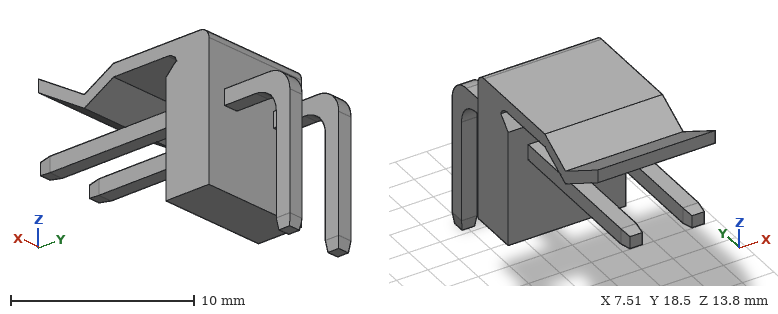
import cadquery as cq


housing_width = 7.51
housing_depth = 3.18
housing_height = 9.49
rear_edge_radius = 0.65

latch_thickness = 0.83
latch_bend_reach = 7.03
latch_valley_reach = 9.2
latch_tip_reach = 12.58
latch_valley_drop = 1.2
latch_tip_rise = 0.8

relief_chamfer = 0.78
relief_chamfer_bottom = 7.42
relief_radius = 0.65

pin_pitch = 3.95
pin_size = 1.0
pin_axis_height = 5.68
pin_rear_offset = 4.81
pin_length = 18.5
pin_drop = 3.5
pin_bend_radius = 1.5
pin_end_size = 0.8
mating_taper = 0.8
solder_taper = 0.72


def make_housing():
    """Housing block and latch as one extruded side profile of (Y, Z) points."""
    rear = -pin_rear_offset
    front = rear - housing_depth
    bend = rear - latch_bend_reach
    valley = rear - latch_valley_reach
    tip = rear - latch_tip_reach

    top = housing_height
    underside = top - latch_thickness
    valley_top = top - latch_valley_drop
    tip_top = top + latch_tip_rise

    slope_end_y = front + relief_chamfer
    slope_end_z = relief_chamfer_bottom + relief_chamfer
    round_center_z = underside - relief_radius
    round_half_width = (relief_radius**2 - (slope_end_z - round_center_z) ** 2) ** 0.5
    round_start_y = slope_end_y - round_half_width

    profile = (
        cq.Workplane("YZ")
        .moveTo(rear, 0)
        .lineTo(rear, top - rear_edge_radius)
        .tangentArcPoint((rear - rear_edge_radius, top), relative=False)
        .lineTo(bend, top)
        .lineTo(valley, valley_top)
        .lineTo(tip, tip_top)
        .lineTo(tip, tip_top - latch_thickness)
        .lineTo(valley, valley_top - latch_thickness)
        .lineTo(bend, underside)
        .lineTo(round_start_y, underside)
        .tangentArcPoint((slope_end_y, slope_end_z), relative=False)
        .lineTo(front, relief_chamfer_bottom)
        .lineTo(front, 0)
        .close()
    )
    return profile.extrude(housing_width / 2, both=True)


def make_pin_end(workplane, length):
    """Tapered pin end, grown from a full pin section along the workplane normal."""
    return (
        workplane.rect(pin_size, pin_size)
        .workplane(offset=length)
        .rect(pin_end_size, pin_end_size)
        .loft()
    )


def make_pin(x):
    """Bent square pin with both ends tapered."""
    mating_start = -pin_length + mating_taper
    solder_start = -pin_drop + solder_taper
    pin_top = pin_axis_height + pin_size / 2
    pin_bottom = pin_top - pin_size

    profile = (
        cq.Workplane("YZ", origin=(x, 0, 0))
        .moveTo(mating_start, pin_top)
        .lineTo(-pin_bend_radius, pin_top)
        .tangentArcPoint((0, pin_top - pin_bend_radius), relative=False)
        .lineTo(0, solder_start)
        .lineTo(-pin_size, solder_start)
        .lineTo(-pin_size, pin_bottom - pin_bend_radius)
        .tangentArcPoint((-pin_size - pin_bend_radius, pin_bottom), relative=False)
        .lineTo(mating_start, pin_bottom)
        .close()
    )
    shank = profile.extrude(pin_size / 2, both=True)

    mating_plane = cq.Workplane("XZ", origin=(x, mating_start, pin_axis_height))
    solder_plane = cq.Workplane("XY", origin=(x, -pin_size / 2, solder_start))
    mating_end = make_pin_end(mating_plane, mating_taper)
    solder_end = make_pin_end(solder_plane, -solder_taper)
    return shank.union(mating_end).union(solder_end)


result = make_housing()
for pin_x in (-pin_pitch / 2, pin_pitch / 2):
    result = result.union(make_pin(pin_x))